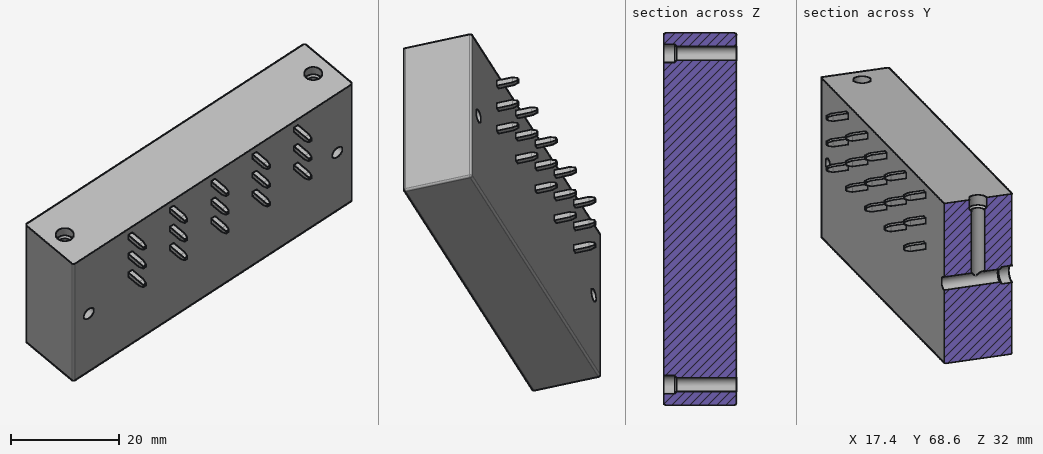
import cadquery as cq

body_x = 13.4
body_y = 68.56
body_z = 32.0
edge_radius = 0.4

hole_diameter = 2.5
counterbore_diameter = 3.3
counterbore_depth = 2.0
cone_depth = (counterbore_diameter - hole_diameter) / 2
hole_spacing = 60.96

pin_columns = 5
pin_rows = 3
pin_pitch_y = 10.16
pin_pitch_z = 5.08
top_row_depth = 2.17
pin_length = 4.0
pin_width_y = 1.0
pin_width_z = 1.15
tip_length = 1.0
tip_width_y = 0.7
tip_width_z = 0.6
pin_root = 0.5


def make_body():
    """Block with every edge rounded except those around the top face."""
    block = cq.Workplane("XY").box(body_x, body_y, body_z)
    return block.edges("|Z or <Z").fillet(edge_radius)


def make_hole_cutter(mouth, direction, depth):
    """Bore with a conical-bottomed counterbore, running from the mouth along the direction."""
    start = cq.Vector(*mouth)
    axis = cq.Vector(*direction)
    counterbore_end = start + axis * counterbore_depth
    bore = cq.Solid.makeCylinder(hole_diameter / 2, depth, start, axis)
    counterbore = cq.Solid.makeCylinder(counterbore_diameter / 2, counterbore_depth, start, axis)
    cone = cq.Solid.makeCone(
        counterbore_diameter / 2, hole_diameter / 2, cone_depth, counterbore_end, axis
    )
    return cq.Workplane("XY").add(bore.fuse(counterbore, cone))


def cut_mounting_holes(body):
    """Cut, at each end, a through hole along X and a hole from the top that meets it."""
    for y in (-hole_spacing / 2, hole_spacing / 2):
        side_hole = make_hole_cutter((-body_x / 2, y, 0), (1, 0, 0), body_x)
        top_hole = make_hole_cutter((0, y, body_z / 2), (0, 0, -1), body_z / 2)
        body = body.cut(side_hole).cut(top_hole)
    return body


def make_pin():
    """Pin along +X from the housing face at x = 0, ending in a tapered tip."""
    shank_length = pin_length - tip_length
    shank = (
        cq.Workplane("YZ", origin=(-pin_root, 0, 0))
        .rect(pin_width_y, pin_width_z)
        .extrude(pin_root + shank_length)
    )
    tip = (
        cq.Workplane("YZ", origin=(shank_length, 0, 0))
        .rect(pin_width_y, pin_width_z)
        .workplane(offset=tip_length)
        .rect(tip_width_y, tip_width_z)
        .loft(ruled=True)
    )
    return shank.union(tip)


def add_pins(body):
    """Fuse the grid of pins onto the +X face of the housing."""
    pin = make_pin()
    for column in range(pin_columns):
        y = (column - (pin_columns - 1) / 2) * pin_pitch_y
        for row in range(pin_rows):
            z = body_z / 2 - top_row_depth - row * pin_pitch_z
            body = body.union(pin.translate((body_x / 2, y, z)))
    return body


result = add_pins(cut_mounting_holes(make_body()))